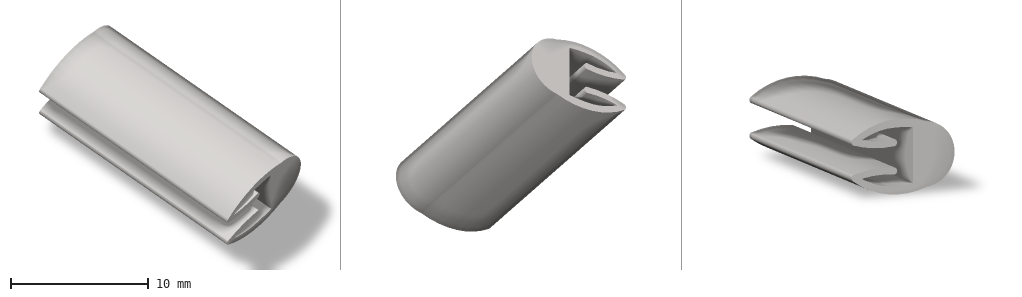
import cadquery as cq

length = 18.0
depth = 8.19
height = 5.6
half_height = height / 2

back_radius = 2.43
back_end = (2.2, 2.41)
crown = (4.32, half_height)
jaw_end = (8.06, 1.57)
jaw_nose = (depth, 1.33)

lip_start = (8.08, 1.1)
lip_low_point = (6.01, 0.74)
lip_end_lower = (4.75, 0.8)
lip_end_nose = (4.57, 1.05)
lip_end_upper = (4.8, 1.31)
lip_upper_middle = (5.7, 1.25)
fold = (7.4, 1.42)

roof_middle = (6.32, 1.9)
roof_joint = (5.36, 2.12)
roof_crown = (4.41, 2.16)
cavity_corner = (3.3, 2.09)


def place(point):
    """Convert (depth, height) to (Y, Z), centred on the part."""
    return depth / 2 - point[0], point[1]


def arc_through(outline, middle, end):
    return outline.threePointArc(place(middle), place(end))


def upper_half():
    """Half profile above the symmetry plane, extruded to full length."""
    diagonal = back_radius / 2**0.5
    back_middle = (back_radius - diagonal, diagonal)

    outline = cq.Workplane("YZ", origin=(-length / 2, 0, 0)).moveTo(*place((0, 0)))
    outline = arc_through(outline, back_middle, back_end)
    outline = arc_through(outline, crown, jaw_end)
    outline = arc_through(outline, jaw_nose, lip_start)
    outline = arc_through(outline, lip_low_point, lip_end_lower)
    outline = arc_through(outline, lip_end_nose, lip_end_upper)
    outline = arc_through(outline, lip_upper_middle, fold)
    outline = arc_through(outline, roof_middle, roof_joint)
    outline = arc_through(outline, roof_crown, cavity_corner)
    outline = outline.lineTo(*place((cavity_corner[0], 0)))
    return outline.close().extrude(length)


upper = upper_half()
result = upper.union(upper.mirror("XY")).clean()